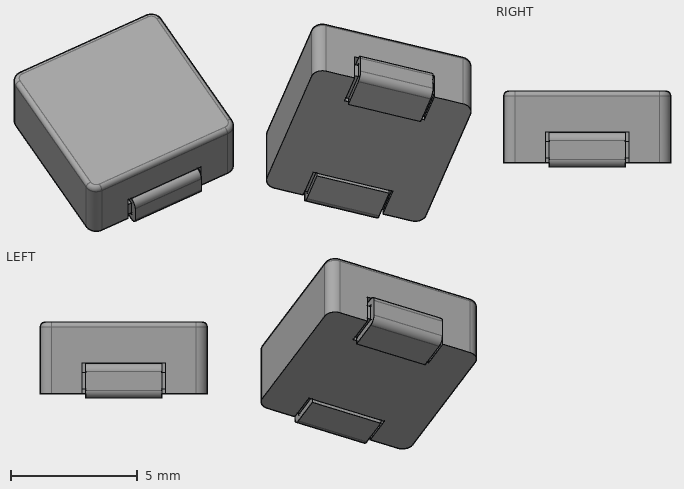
import cadquery as cq

OVERALL_LENGTH = 7.2
OVERALL_HEIGHT = 3.0

HOUSING_SIDE = 6.6
HOUSING_BOTTOM = 0.16
CORNER_RADIUS = 0.45
TOP_EDGE_RADIUS = 0.2

LEAD_WIDTH = 3.0
LEAD_HEIGHT = 1.35
LEAD_THICKNESS = 0.3
LEAD_ARM_LENGTH = 1.585
BEND_RADIUS = 0.3

SIDE_CLEARANCE = 0.15
TOP_CLEARANCE = 0.035
INNER_CLEARANCE = 0.05

HOUSING_HEIGHT = OVERALL_HEIGHT - HOUSING_BOTTOM
LEAD_OUTER_X = -OVERALL_LENGTH / 2
ARM_END_X = LEAD_OUTER_X + LEAD_ARM_LENGTH
RECESS_WIDTH = LEAD_WIDTH + 2 * SIDE_CLEARANCE
RECESS_TOP = LEAD_HEIGHT + TOP_CLEARANCE


def box_between(x_range, z_range, width):
    """Box spanning the given X and Z ranges, centred on Y = 0."""
    x_min, x_max = x_range
    z_min, z_max = z_range
    return (
        cq.Workplane("XY")
        .box(x_max - x_min, width, z_max - z_min, centered=(False, True, False))
        .translate((x_min, 0, z_min))
    )


def on_lead_side(shape, side):
    """Keep a shape on the -X side, or turn it half a turn about Z to the +X side."""
    return shape if side < 0 else shape.rotate((0, 0, 0), (0, 0, 1), 180)


def make_lead(side):
    """C-shaped strip: an upright outside the housing with two arms bent inward."""
    outer = box_between((LEAD_OUTER_X, ARM_END_X), (0, LEAD_HEIGHT), LEAD_WIDTH)
    outer = outer.edges("|Y and <X").fillet(BEND_RADIUS)
    opening = box_between(
        (LEAD_OUTER_X + LEAD_THICKNESS, ARM_END_X),
        (LEAD_THICKNESS, LEAD_HEIGHT - LEAD_THICKNESS),
        LEAD_WIDTH,
    )
    return on_lead_side(outer.cut(opening), side)


def make_lead_recess(side):
    """Space for one lead: two arm slots around a tongue set just behind the side wall."""
    pocket = box_between((LEAD_OUTER_X, ARM_END_X), (0, RECESS_TOP), RECESS_WIDTH)
    tongue_inset = LEAD_THICKNESS + INNER_CLEARANCE
    tongue = box_between(
        (LEAD_OUTER_X + tongue_inset, ARM_END_X),
        (tongue_inset, LEAD_HEIGHT - tongue_inset),
        RECESS_WIDTH,
    )
    return on_lead_side(pocket.cut(tongue), side)


def make_housing():
    """Square block with rounded corners and top edge, recessed for both leads."""
    block = (
        cq.Workplane("XY")
        .workplane(offset=HOUSING_BOTTOM)
        .rect(HOUSING_SIDE, HOUSING_SIDE)
        .extrude(HOUSING_HEIGHT)
        .edges("|Z")
        .fillet(CORNER_RADIUS)
        .faces(">Z")
        .edges()
        .fillet(TOP_EDGE_RADIUS)
    )
    for side in (-1, 1):
        block = block.cut(make_lead_recess(side))
    return block


housing = make_housing()
leads = [make_lead(side) for side in (-1, 1)]

result = cq.Compound.makeCompound([housing.val(), *[lead.val() for lead in leads]])